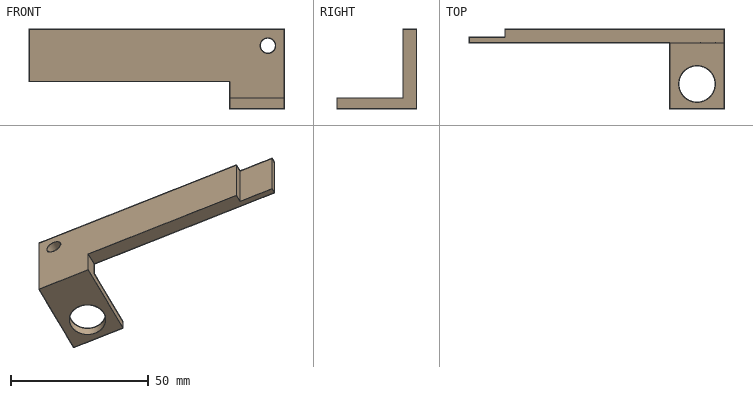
import cadquery as cq

length = 93.0
depth = 29.0
height = 29.0

wall_thickness = 5.0
arm_height = 19.2
thin_end_length = 13.0
thin_end_thickness = 2.0

foot_width = 20.0
foot_thickness = 4.0
foot_reach = depth - wall_thickness

wall_hole_diameter = 5.5
wall_hole_inset = 6.0
foot_hole_diameter = 13.2
foot_hole_setback = 9.0

foot_left = length - foot_width


def box(size_x, size_y, size_z, corner):
    """Box whose lowest-coordinate corner sits at the given point."""
    return cq.Workplane("XY").box(size_x, size_y, size_z, centered=False).translate(corner)


arm = box(length, wall_thickness, arm_height, (0, 0, height - arm_height))
post = box(foot_width, wall_thickness, height, (foot_left, 0, 0))
foot = box(foot_width, foot_reach, foot_thickness, (foot_left, -foot_reach, 0))

thin_end_step = box(
    thin_end_length,
    wall_thickness - thin_end_thickness,
    arm_height,
    (0, thin_end_thickness, height - arm_height),
)

wall_hole = (
    cq.Workplane("XZ", origin=(length - wall_hole_inset, 0, height - wall_hole_inset))
    .circle(wall_hole_diameter / 2)
    .extrude(-wall_thickness)
)

foot_hole = (
    cq.Workplane("XY", origin=(length - foot_width / 2, foot_hole_setback - foot_reach, 0))
    .circle(foot_hole_diameter / 2)
    .extrude(foot_thickness)
)

result = arm.union(post).union(foot).cut(thin_end_step).cut(wall_hole).cut(foot_hole)